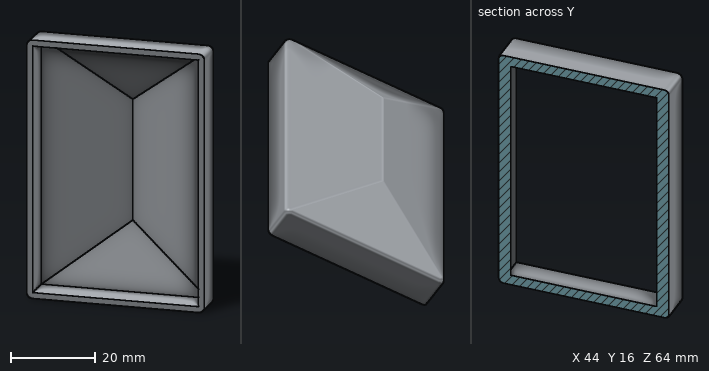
import cadquery as cq

WIDTH = 44.0
LENGTH = 64.0
HEIGHT = 16.0
WALL = 1.5
WALL_HEIGHT = 7.35
RIDGE_LENGTH = 29.9


def polygon_face(*points):
    """Flat face bounded by straight edges between the given points."""
    corners = [cq.Vector(*point) for point in points]
    return cq.Face.makeFromWires(cq.Wire.makePolygon(corners, close=True))


def hipped_block(width, length, eaves, height, ridge):
    """Rectangular block from Y = 0 to the eaves, topped by a hipped roof with its ridge along Z."""
    x = width / 2
    z = length / 2
    footprint = [(-x, -z), (x, -z), (x, z), (-x, z)]
    base = [(px, 0, pz) for px, pz in footprint]
    top = [(px, eaves, pz) for px, pz in footprint]
    low_end = (0, height, -ridge / 2)
    high_end = (0, height, ridge / 2)

    faces = [polygon_face(*base)]
    for i in range(len(base)):
        faces.append(polygon_face(base[i - 1], base[i], top[i], top[i - 1]))
    faces.append(polygon_face(top[0], top[1], low_end))
    faces.append(polygon_face(top[2], top[3], high_end))
    faces.append(polygon_face(top[1], top[2], high_end, low_end))
    faces.append(polygon_face(top[3], top[0], low_end, high_end))
    return cq.Workplane(cq.Solid.makeSolid(cq.Shell.makeShell(faces)).fix())


def cap():
    """Wall of even thickness grown outward around the cavity, leaving the rim side open."""
    cavity = hipped_block(
        WIDTH - 2 * WALL,
        LENGTH - 2 * WALL,
        WALL_HEIGHT,
        HEIGHT - WALL,
        RIDGE_LENGTH,
    )
    return cavity.faces("<Y").shell(WALL, kind="arc")


result = cap()